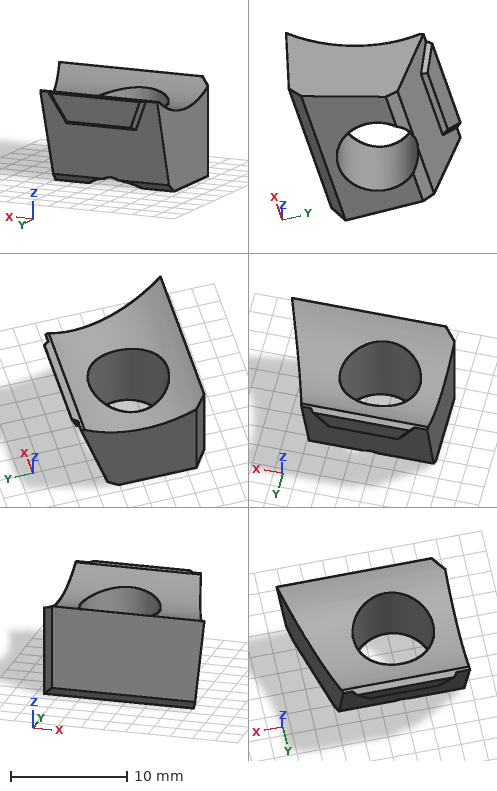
import cadquery as cq
import math

length = 14.63
height = 8.5
chamfer = 1.0

back_top_y = 11.31
back_lean = 0.305
back_chamfer_height = 0.75
back_chamfer_run = 1.0

seat_radius = 10.0
seat_width = 11.0
seat_center_y = seat_width / 2
seat_center_z = height + math.sqrt(seat_radius**2 - seat_center_y**2)

end_run_y = 0.309
end_run_z = 0.11

hole_diameter = 7.01
hole_x = 5.52

pad_left = 1.1
pad_right = 10.37
pad_side_run = 0.38
pad_top_y = 11.75
pad_base_drop = 2.81
pad_face_drop = 2.53
pad_narrowing = 0.48


def back_y(z):
    """Y of the leaning back face at a given height."""
    return back_top_y - back_lean * (height - z)


def make_block():
    """Side profile with seat and lower chamfers, extruded along X."""
    return (
        cq.Workplane("YZ")
        .moveTo(chamfer, 0)
        .lineTo(back_y(back_chamfer_height) - back_chamfer_run, 0)
        .lineTo(back_y(back_chamfer_height), back_chamfer_height)
        .lineTo(back_top_y, height)
        .lineTo(seat_width, height)
        .threePointArc((seat_center_y, seat_center_z - seat_radius), (0, height))
        .lineTo(0, chamfer)
        .close()
        .extrude(length)
    )


def make_pad():
    """Pad following the lean of the back face, with flared sides and lower edge."""

    def section(offset, inset, drop):
        """Outline at a given Y offset from the back face."""

        def corner(x, fall):
            return cq.Vector(x, back_y(height - fall) + offset, height - fall)

        left = pad_left + inset
        right = pad_right - inset
        narrowing = pad_narrowing * drop
        return cq.Wire.makePolygon(
            [
                corner(left, 0),
                corner(right, 0),
                corner(right - narrowing, drop),
                corner(left + narrowing, drop),
            ],
            close=True,
        )

    base = section(0, 0, pad_base_drop)
    face = section(pad_top_y - back_top_y, pad_side_run, pad_face_drop)
    return cq.Workplane(cq.Solid.makeLoft([base, face], True))


def end_x(y, z):
    """X of the right end plane."""
    return length - end_run_y * y - end_run_z * (height - z)


def make_end_limit():
    """Solid on the inner side of the right end plane."""

    def section(z):
        return cq.Wire.makePolygon(
            [
                cq.Vector(0, 0, z),
                cq.Vector(end_x(0, z), 0, z),
                cq.Vector(end_x(pad_top_y, z), pad_top_y, z),
                cq.Vector(0, pad_top_y, z),
            ],
            close=True,
        )

    return cq.Workplane(cq.Solid.makeLoft([section(0), section(height)], True))


corner_cut = cq.Workplane("XY").polyline([(0, 0), (chamfer, 0), (0, chamfer)]).close().extrude(height)
hole = cq.Workplane("XY").center(hole_x, seat_center_y).circle(hole_diameter / 2).extrude(height)

result = make_block().union(make_pad()).intersect(make_end_limit()).cut(corner_cut).cut(hole)